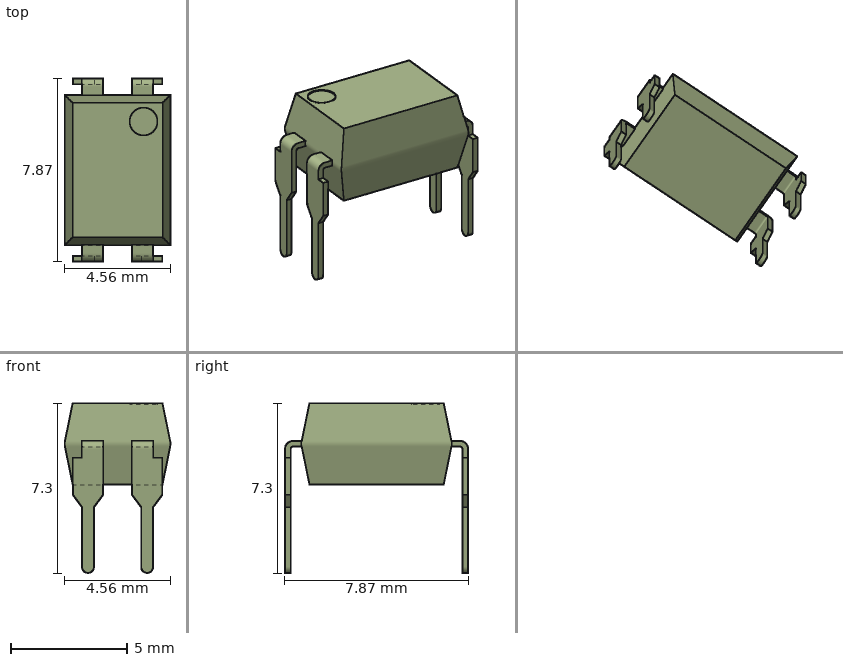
import cadquery as cq
import math


housing_width = 4.56
housing_height = 3.5
top_width = 3.865
top_length = 5.78
ridge_radius = 0.535
half_height = housing_height / 2

mark_diameter = 1.2
mark_x = 1.12
mark_y = 2.085
mark_depth = 0.05

overall_length = 7.87
overall_height = 7.3
lead_pitch = 2.54
lead_thickness = 0.25
bend_inner_radius = 0.09
pad_width = 1.31
shank_width = 0.52
notch_z = -0.6
pad_bottom_z = -2.195
shank_top_z = -2.72
bend_outer_radius = bend_inner_radius + lead_thickness
lead_top_z = lead_thickness / 2
lead_tip_z = half_height - overall_height
lead_outer_y = overall_length / 2


def sharp_ridge_inset():
    """Inset of the sloped faces from the ridge as it was before rounding.

    Rounding a ridge of draft angle a takes radius * (1 / cos(a) - 1) off its tip.
    The draft depends on that loss, so it is settled by a few repeats.
    """
    rounded_inset = (housing_width - top_width) / 2
    inset = rounded_inset
    for _ in range(5):
        draft = math.atan(inset / half_height)
        inset = rounded_inset + ridge_radius * (1 / math.cos(draft) - 1)
    return inset


def make_housing():
    """Two tapered halves meeting at a rounded ridge, with the pin 1 mark on top."""
    inset = sharp_ridge_inset()
    ridge_width = top_width + 2 * inset
    ridge_length = top_length + 2 * inset
    draft_degrees = math.degrees(math.atan(inset / half_height))
    ridge = cq.Workplane("XY").rect(ridge_width, ridge_length)
    upper = ridge.extrude(half_height, taper=draft_degrees)
    lower = upper.mirror("XY")
    body = upper.union(lower)

    parting_plane = cq.selectors.BoxSelector(
        (-ridge_width, -ridge_length, -lead_top_z),
        (ridge_width, ridge_length, lead_top_z),
    )
    body = body.edges(parting_plane).fillet(ridge_radius)

    mark = (
        cq.Workplane("XY", origin=(mark_x, mark_y, half_height - mark_depth))
        .circle(mark_diameter / 2)
        .extrude(mark_depth)
    )
    return body.cut(mark)


def make_lead_strip():
    """Bent strip of full pad width in the YZ plane, running from the housing to the tip."""
    bend_y = lead_outer_y - bend_outer_radius
    bend_z = lead_top_z - bend_outer_radius
    diagonal = math.sqrt(0.5)
    outer_mid = bend_outer_radius * diagonal
    inner_mid = bend_inner_radius * diagonal
    return (
        cq.Workplane("YZ")
        .moveTo(top_length / 2, lead_top_z)
        .lineTo(bend_y, lead_top_z)
        .threePointArc((bend_y + outer_mid, bend_z + outer_mid), (lead_outer_y, bend_z))
        .lineTo(lead_outer_y, lead_tip_z)
        .lineTo(lead_outer_y - lead_thickness, lead_tip_z)
        .lineTo(lead_outer_y - lead_thickness, bend_z)
        .threePointArc((bend_y + inner_mid, bend_z + inner_mid), (bend_y, -lead_top_z))
        .lineTo(top_length / 2, -lead_top_z)
        .close()
        .extrude(pad_width / 2, both=True)
    )


def make_lead_outline():
    """Front outline of a lead as a block through Y, with the notch on the +X side."""
    half_pad = pad_width / 2
    half_shank = shank_width / 2
    tip_centre_z = lead_tip_z + half_shank
    return (
        cq.Workplane("XZ")
        .moveTo(-half_pad, lead_top_z)
        .lineTo(half_shank, lead_top_z)
        .lineTo(half_shank, notch_z)
        .lineTo(half_pad, notch_z)
        .lineTo(half_pad, pad_bottom_z)
        .lineTo(half_shank, shank_top_z)
        .lineTo(half_shank, tip_centre_z)
        .threePointArc((0, lead_tip_z), (-half_shank, tip_centre_z))
        .lineTo(-half_shank, shank_top_z)
        .lineTo(-half_pad, pad_bottom_z)
        .close()
        .extrude(-lead_outer_y)
    )


def make_leads(housing):
    """Four mirrored leads whose inner ends butt against the housing."""
    lead = make_lead_strip().intersect(make_lead_outline())
    right_back = lead.translate((lead_pitch / 2, 0, 0)).cut(housing)
    leads = []
    for row in (right_back, right_back.mirror("XZ")):
        for copy in (row, row.mirror("YZ")):
            leads.append(copy.solids().val())
    return leads


housing = make_housing()
leads = make_leads(housing)

result = cq.Compound.makeCompound([housing.solids().val(), *leads])